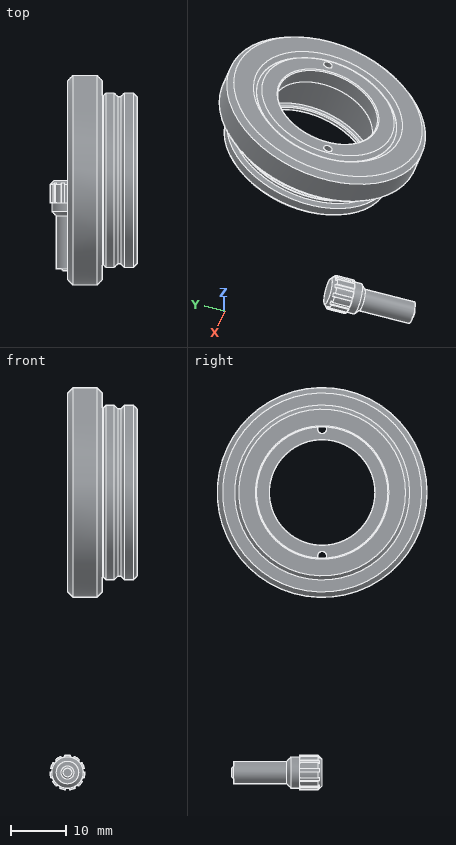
import cadquery as cq


housing_length = 12.7
flange_width = 6.35
flange_radius = 38.1 / 2
flange_chamfer = 1.0

spigot_radius = 31.73 / 2
relief_radius = 30.84 / 2
relief_width = 0.2
groove_radius = 30.41 / 2
groove_floor_start = 9.12
groove_floor_width = 0.55
rear_chamfer = 0.75

seat_radius = 26.86 / 2
bore_radius = 25.72 / 2
seat_chamfer = 0.85
lip_radius = 23.81 / 2
lip_thickness = 1.0
lip_chamfer = 0.2

ring_thickness = 3.1
ring_bore_radius = 19.11 / 2
ring_outer_chamfer = 0.75
ring_bore_chamfer = 0.2
spanner_hole_diameter = 1.57
spanner_hole_offset = 11.5

screw_z = -50.8
head_radius = 6.35 / 2
head_length = 4.1
head_chamfer = 0.75
collar_radius = 5.71 / 2
collar_end = 5.65
shank_radius = 4.09 / 2
shank_end = 16.05
tip_base_radius = 2.34 / 2
tip_end_radius = 1.57 / 2

knurl_count = 11
knurl_width = 0.65
knurl_depth = 0.3


def revolve_about_x(points):
    """Solid of revolution from an outline of (x, radius) points."""
    return cq.Workplane("XY").polyline(points).close().revolve(360, (0, 0, 0), (1, 0, 0))


def make_housing():
    """Flanged housing with a bevelled groove around its spigot and a stepped, lipped bore."""
    relief_end = flange_width + relief_width
    relief_depth = spigot_radius - relief_radius
    groove_depth = spigot_radius - groove_radius
    groove_floor_end = groove_floor_start + groove_floor_width
    lip_start = housing_length - lip_thickness
    return revolve_about_x([
        (0, flange_radius - flange_chamfer),
        (flange_chamfer, flange_radius),
        (flange_width - flange_chamfer, flange_radius),
        (flange_width, flange_radius - flange_chamfer),
        (flange_width, relief_radius),
        (relief_end, relief_radius),
        (relief_end + relief_depth, spigot_radius),
        (groove_floor_start - groove_depth, spigot_radius),
        (groove_floor_start, groove_radius),
        (groove_floor_end, groove_radius),
        (groove_floor_end + groove_depth, spigot_radius),
        (housing_length - rear_chamfer, spigot_radius),
        (housing_length, spigot_radius - rear_chamfer),
        (housing_length, lip_radius + lip_chamfer),
        (housing_length - lip_chamfer, lip_radius),
        (lip_start + lip_chamfer, lip_radius),
        (lip_start, lip_radius + lip_chamfer),
        (lip_start, bore_radius),
        (ring_thickness, bore_radius),
        (ring_thickness, seat_radius),
        (seat_chamfer, seat_radius),
        (0, seat_radius + seat_chamfer),
    ])


def make_retaining_ring():
    """Thin ring that fills the seat in the housing, with two holes for a pin spanner."""
    ring = revolve_about_x([
        (0, ring_bore_radius + ring_bore_chamfer),
        (0, seat_radius - ring_outer_chamfer),
        (ring_outer_chamfer, seat_radius),
        (ring_thickness, seat_radius),
        (ring_thickness, ring_bore_radius),
        (ring_bore_chamfer, ring_bore_radius),
    ])
    spanner_holes = (
        cq.Workplane("YZ")
        .pushPoints([(0, spanner_hole_offset), (0, -spanner_hole_offset)])
        .circle(spanner_hole_diameter / 2)
        .extrude(ring_thickness)
    )
    return ring.cut(spanner_holes)


def make_screw():
    """Thumb screw pointing along -Y, with its head's end face at Y = 0."""
    cone_end = collar_end + collar_radius - shank_radius
    tip_end = shank_end + tip_base_radius - tip_end_radius
    screw = (
        cq.Workplane("XY")
        .polyline([
            (0, 0),
            (head_radius - head_chamfer, 0),
            (head_radius, -head_chamfer),
            (head_radius, -head_length),
            (collar_radius, -head_length),
            (collar_radius, -collar_end),
            (shank_radius, -cone_end),
            (shank_radius, -shank_end),
            (tip_base_radius, -shank_end),
            (tip_end_radius, -tip_end),
            (0, -tip_end),
        ])
        .close()
        .revolve(360, (0, 0, 0), (0, 1, 0))
    )
    slot = cq.Workplane("XY").box(knurl_width, head_length, 2 * knurl_depth)
    slot = slot.translate((0, -head_length / 2, -head_radius))
    for index in range(knurl_count):
        angle = index * 360 / knurl_count
        screw = screw.cut(slot.rotate((0, 0, 0), (0, 1, 0), angle))
    return screw.translate((0, 0, screw_z))


housing = make_housing()
retaining_ring = make_retaining_ring()
screw = make_screw()

result = cq.Compound.makeCompound([housing.val(), retaining_ring.val(), screw.val()])